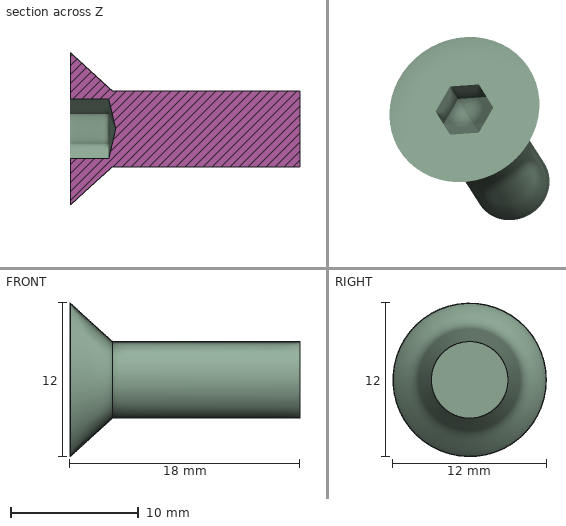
import cadquery as cq
import math

length = 18.0
shank_diameter = 6.0
head_diameter = 12.0
head_height = 3.3

socket_across_flats = 4.0
socket_depth = 3.0
socket_tip_angle = 150.0

socket_across_corners = socket_across_flats / math.cos(math.radians(30))
tip_depth = socket_across_flats / 2 / math.tan(math.radians(socket_tip_angle / 2))


def make_body():
    """Revolve the conical head and the plain shank about the X axis."""
    half_profile = (
        cq.Workplane("XY")
        .moveTo(0, 0)
        .lineTo(0, head_diameter / 2)
        .lineTo(head_height, shank_diameter / 2)
        .lineTo(length, shank_diameter / 2)
        .lineTo(length, 0)
        .close()
    )
    return half_profile.revolve(360, (0, 0, 0), (1, 0, 0))


def make_socket():
    """Hexagonal prism, corners on the Y axis, ending in a six-sided pyramid."""
    prism = cq.Workplane("YZ").polygon(6, socket_across_corners).extrude(socket_depth)
    corners = [
        cq.Vector(
            socket_depth,
            socket_across_corners / 2 * math.cos(math.radians(60 * i)),
            socket_across_corners / 2 * math.sin(math.radians(60 * i)),
        )
        for i in range(6)
    ]
    tip = cq.Vector(socket_depth + tip_depth, 0, 0)
    faces = [cq.Face.makeFromWires(cq.Wire.makePolygon(corners, close=True))]
    for i in range(6):
        side = cq.Wire.makePolygon([corners[i], corners[(i + 1) % 6], tip], close=True)
        faces.append(cq.Face.makeFromWires(side))
    pyramid = cq.Solid.makeSolid(cq.Shell.makeShell(faces))
    return prism.union(cq.Workplane(obj=pyramid))


result = make_body().cut(make_socket())